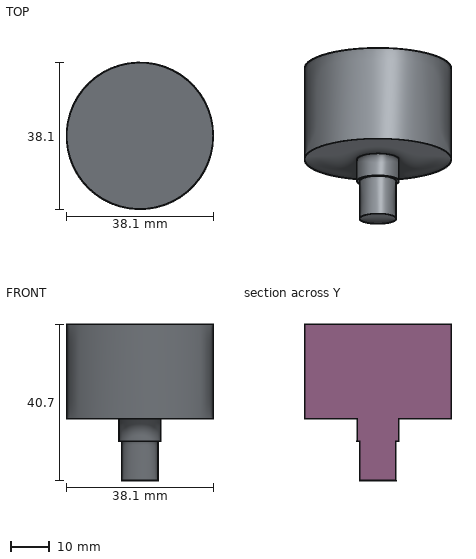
import cadquery as cq

total_height = 40.65
head_diameter = 38.1

collar_diameter = 10.9
collar_height = 5.9
stud_diameter = 9.5
stud_height = 10.15

head_height = total_height - collar_height - stud_height


def stack_cylinder(body, diameter, height):
    """Add a centred cylinder on top of the body."""
    return body.faces(">Z").workplane().circle(diameter / 2).extrude(height)


stud = cq.Workplane("XY").circle(stud_diameter / 2).extrude(stud_height)
stem = stack_cylinder(stud, collar_diameter, collar_height)
result = stack_cylinder(stem, head_diameter, head_height)